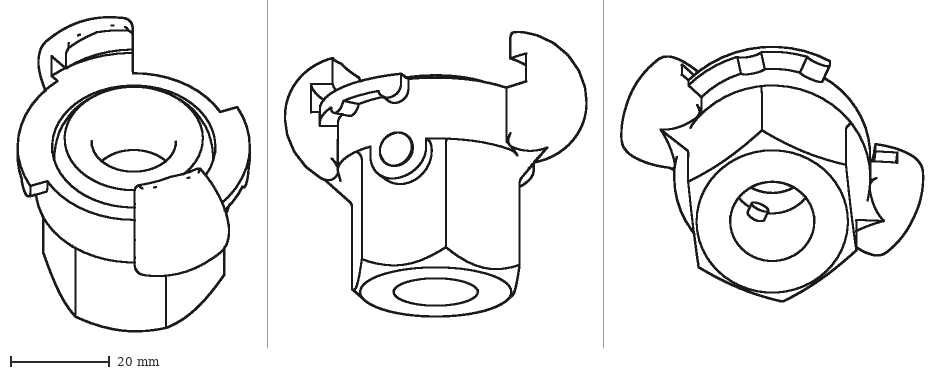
import cadquery as cq
import math

HEX_FLATS = 32.1
HEX_CORNERS = HEX_FLATS / math.cos(math.radians(30))
HEX_END_DIAMETER = 30.6
BORE_DIAMETER = 17.0

COLLAR_RADIUS = 19.85
COLLAR_BOTTOM = 26.0
COLLAR_TOP = 39.0
COLLAR_FILLET = 1.5

TONGUE_RADIUS = 23.5
TONGUE_THICKNESS = 3.0
RIB_RADIUS = 2.6
RIB_DROP = 2.2
RIB_ANGLES = (0, 35)
RIB_INNER_END = 18.3

CLAW_REACH = 31.5
CLAW_CURVE = 13.05
CLAW_CROWN = 20.05
CLAW_HALF_ANGLE = 20.3
CLAW_EDGE_FILLET = 2.0
CLAW_TIP_RADIUS = 20.9
CLAW_TOP = 51.8
CLAW_ROOF_ANGLE = 9.0
CLAW_SLOT_RADIUS = 25.3
CLAW_SLOT_HEIGHT = 6.0
CLAW_AXIS_X = CLAW_REACH - CLAW_CURVE

WEB_START = 21.4
WEB_TOP = 30.25
WEB_INNER_SPREAD = 3.4
WEB_INNER_RUN = WEB_INNER_SPREAD * math.tan(math.radians(30))

RECESS_DIAMETER = 33.0
RECESS_FLOOR = 28.35
SEAL_DIAMETER = 32.0
SEAL_TOP = 41.85
SEAL_SHOULDER_Z = 36.55
SEAL_BULGE_RADIUS = 15.5
SEAL_FLAT_RADIUS = 13.0
SEAL_LIP_RADIUS = 14.0
SEAL_FILLET = 1.5

PIN_Z = 24.25
PIN_DIAMETER = 3.7
PIN_TIP_Y = 6.2
PLUG_DIAMETER = 7.05
PLUG_INNER_Y = 16.7
PLUG_OUTER_Y = 20.1
BOSS_RADIUS = 6.2

WIDE = 2 * CLAW_REACH


def cylinder(radius, bottom, top):
    return cq.Workplane("XY").workplane(offset=bottom).circle(radius).extrude(top - bottom)


def y_cylinder(radius, z, start, end):
    plane = cq.Plane(origin=(0, start, z), xDir=(1, 0, 0), normal=(0, 1, 0))
    return cq.Workplane(plane).circle(radius).extrude(end - start)


def block(x_range, y_range, z_range):
    sizes = [high - low for low, high in (x_range, y_range, z_range)]
    corner = (x_range[0], y_range[0], z_range[0])
    return cq.Workplane("XY").box(*sizes, centered=False).translate(corner)


def half_turn(body):
    return body.rotate((0, 0, 0), (0, 0, 1), 180)


def make_hexagon():
    """Hexagonal prism whose lower corners are trimmed by a 45 degree cone."""
    prism = cq.Workplane("XY").polygon(6, HEX_CORNERS).extrude(COLLAR_BOTTOM)
    end_radius = HEX_END_DIAMETER / 2
    cone = (
        cq.Workplane("XZ")
        .lineTo(end_radius, 0)
        .lineTo(end_radius + COLLAR_BOTTOM, COLLAR_BOTTOM)
        .lineTo(0, COLLAR_BOTTOM)
        .close()
        .revolve(360, (0, 0), (0, 1))
    )
    return prism.intersect(cone)


def make_web():
    """Upside-down pyramid on the -X corner, with its crease rising outward at 45 degrees."""
    rise = WEB_TOP - WEB_START
    corner = cq.Vector(-HEX_CORNERS / 2, 0, WEB_START)
    crease_end = corner + cq.Vector(-rise, 0, rise)
    front_end = corner + cq.Vector(WEB_INNER_RUN * rise, -WEB_INNER_SPREAD * rise, rise)
    back_end = corner + cq.Vector(WEB_INNER_RUN * rise, WEB_INNER_SPREAD * rise, rise)
    triangles = [
        (corner, crease_end, front_end),
        (corner, back_end, crease_end),
        (corner, front_end, back_end),
        (crease_end, back_end, front_end),
    ]
    faces = [cq.Face.makeFromWires(cq.Wire.makePolygon(t, close=True)) for t in triangles]
    return cq.Workplane(cq.Solid.makeSolid(cq.Shell.makeShell(faces)))


def make_socket(web):
    """Hexagon and lower webs, with fillets up to the collar that stop at the collar's rim."""
    low_web = web.intersect(cylinder(WIDE, 0, COLLAR_BOTTOM))
    core = make_hexagon().union(low_web).union(half_turn(low_web))
    plate = block((-WIDE, WIDE), (-WIDE, WIDE), (COLLAR_BOTTOM, COLLAR_TOP))
    bottom = WEB_START + 0.6
    top = COLLAR_BOTTOM + 0.6
    back_edges = cq.selectors.BoxSelector((-CLAW_REACH, 0.6, bottom), (CLAW_REACH, CLAW_REACH, top))
    front_edges = cq.selectors.BoxSelector((-CLAW_REACH, -CLAW_REACH, bottom), (CLAW_REACH, -0.6, top))
    flared = core.union(plate).edges(back_edges + front_edges).fillet(COLLAR_FILLET)
    return core.union(flared.intersect(cylinder(COLLAR_RADIUS, 0, COLLAR_TOP)))


def make_sector(bottom, top):
    """Wedge about the Z axis that holds the -X claw between its two side faces."""
    half_width = WIDE * math.tan(math.radians(CLAW_HALF_ANGLE))
    return (
        cq.Workplane("XY")
        .workplane(offset=bottom)
        .polyline([(0, 0), (-WIDE, -half_width), (-WIDE, half_width)])
        .close()
        .extrude(top - bottom)
    )


def make_barrel():
    half_width = CLAW_CURVE
    edge_radius = CLAW_CURVE - CLAW_CROWN + math.sqrt(CLAW_CROWN**2 - half_width**2)
    return (
        cq.Workplane("XY", origin=(-CLAW_AXIS_X, 0, COLLAR_TOP))
        .moveTo(0, -half_width)
        .lineTo(edge_radius, -half_width)
        .threePointArc((CLAW_CURVE, 0), (edge_radius, half_width))
        .lineTo(0, half_width)
        .close()
        .revolve(360, (0, 0), (0, 1))
    )


def make_roof():
    """Prism along X whose low ridge slopes both ways in Y and trims the claw tip."""
    eave = CLAW_TOP - CLAW_REACH * math.tan(math.radians(CLAW_ROOF_ANGLE))
    return (
        cq.Workplane("YZ", origin=(-CLAW_REACH - 0.6, 0, 0))
        .polyline([
            (-CLAW_REACH, 0),
            (CLAW_REACH, 0),
            (CLAW_REACH, eave),
            (0, CLAW_TOP),
            (-CLAW_REACH, eave),
        ])
        .close()
        .extrude(CLAW_REACH)
    )


def make_claw():
    claw = make_barrel().intersect(make_sector(COLLAR_BOTTOM, COLLAR_TOP + CLAW_CURVE))
    claw = claw.cut(cylinder(RECESS_DIAMETER / 2, 0, WIDE))
    claw = claw.edges("<X").fillet(CLAW_EDGE_FILLET).intersect(make_roof())
    claw = claw.cut(cylinder(CLAW_TIP_RADIUS, COLLAR_TOP, WIDE))
    return claw.cut(cylinder(CLAW_SLOT_RADIUS, COLLAR_TOP, COLLAR_TOP + CLAW_SLOT_HEIGHT))


def make_tongue():
    rib_z = COLLAR_TOP - RIB_DROP
    y_range = (-TONGUE_RADIUS, 0)
    plate = block((-TONGUE_RADIUS, 0), y_range, (COLLAR_TOP - TONGUE_THICKNESS, COLLAR_TOP))
    tongue = plate.union(block((0, RIB_RADIUS), y_range, (rib_z, COLLAR_TOP)))
    for angle in RIB_ANGLES:
        rib = y_cylinder(RIB_RADIUS, rib_z, -CLAW_REACH, -RIB_INNER_END)
        tongue = tongue.union(rib.rotate((0, 0, 0), (0, 0, 1), -angle))
    return tongue.intersect(cylinder(TONGUE_RADIUS, 0, COLLAR_TOP))


def make_boss():
    """Boss with a round lower half that runs straight up into the collar."""
    round_part = y_cylinder(BOSS_RADIUS, PIN_Z, 0, COLLAR_RADIUS)
    straight_part = block((-BOSS_RADIUS, BOSS_RADIUS), (0, COLLAR_RADIUS), (PIN_Z, COLLAR_BOTTOM))
    boss = round_part.union(straight_part)
    return boss.intersect(cylinder(COLLAR_RADIUS, 0, COLLAR_TOP))


def make_housing():
    web = make_web()
    high_web = web.intersect(make_sector(COLLAR_BOTTOM, WEB_TOP))
    side = high_web.union(make_claw()).union(make_tongue())
    body = make_socket(web).union(side).union(half_turn(side)).union(make_boss())
    body = body.cut(cylinder(BORE_DIAMETER / 2, 0, COLLAR_TOP))
    body = body.cut(cylinder(RECESS_DIAMETER / 2, RECESS_FLOOR, COLLAR_TOP))
    body = body.cut(y_cylinder(PIN_DIAMETER / 2, PIN_Z, 0, PLUG_INNER_Y))
    return body.cut(y_cylinder(PLUG_DIAMETER / 2, PIN_Z, PLUG_INNER_Y, WIDE))


def make_seal():
    """Ring with a rounded mouth, a flat face, a filleted lip and a bulging outside."""
    bore = BORE_DIAMETER / 2
    outer = SEAL_DIAMETER / 2
    fillet_z = SEAL_TOP - SEAL_FILLET
    lip_angle = math.asin((SEAL_LIP_RADIUS - SEAL_FLAT_RADIUS) / SEAL_FILLET)
    mouth_angle = math.radians(45)

    def on_lip(angle):
        radius = SEAL_FLAT_RADIUS + SEAL_FILLET * math.sin(angle)
        return (radius, fillet_z + SEAL_FILLET * math.cos(angle))

    mouth_center = bore + SEAL_FILLET
    mouth_middle = (
        mouth_center - SEAL_FILLET * math.sin(mouth_angle),
        fillet_z + SEAL_FILLET * math.cos(mouth_angle),
    )
    return (
        cq.Workplane("XZ")
        .moveTo(bore, RECESS_FLOOR)
        .lineTo(outer, RECESS_FLOOR)
        .lineTo(outer, SEAL_SHOULDER_Z)
        .threePointArc((SEAL_BULGE_RADIUS, COLLAR_TOP), on_lip(lip_angle))
        .threePointArc(on_lip(lip_angle / 2), on_lip(0))
        .lineTo(mouth_center, SEAL_TOP)
        .threePointArc(mouth_middle, (bore, fillet_z))
        .close()
        .revolve(360, (0, 0), (0, 1))
    )


housing = make_housing()
seal = make_seal()
pin = y_cylinder(PIN_DIAMETER / 2, PIN_Z, PIN_TIP_Y, PLUG_INNER_Y)
plug = y_cylinder(PLUG_DIAMETER / 2, PIN_Z, PLUG_INNER_Y, PLUG_OUTER_Y)

result = cq.Compound.makeCompound([housing.val(), seal.val(), pin.val(), plug.val()])